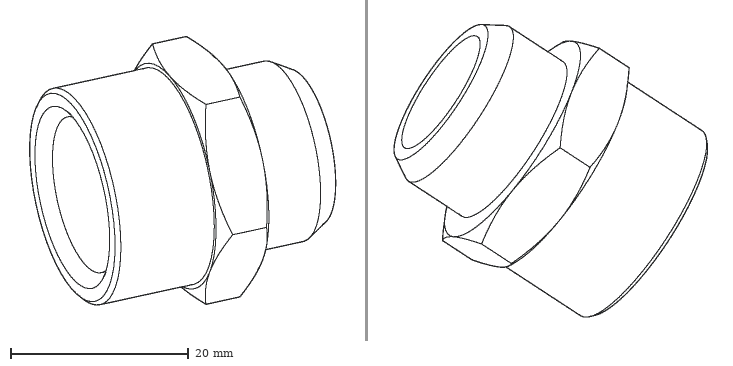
import cadquery as cq
import math

socket_length = 12.0
hex_length = 6.5
spigot_length = 10.0
hex_back = socket_length + hex_length
total_length = hex_back + spigot_length

socket_diameter = 25.0
socket_chamfer = 0.5
hex_across_flats = 26.0
hex_chamfer_angle = 30.0
spigot_diameter = 20.85
spigot_tip_diameter = 18.0
spigot_taper_length = 2.5

mouth_diameter = 21.0
socket_bore_diameter = 18.0
mouth_taper_angle = 45.0
socket_bore_depth = 15.0
step_diameter = 16.0
through_bore_diameter = 15.0
step_taper_length = 0.5


def slope(angle):
    return math.tan(math.radians(angle))


def revolve_profile(points):
    """Turn a closed (radius, y) outline about the Y axis."""
    return cq.Workplane("XY").polyline(points).close().revolve(360, (0, 0, 0), (0, 1, 0))


def make_socket_and_spigot():
    socket_radius = socket_diameter / 2
    tip_radius = spigot_tip_diameter / 2
    spigot_radius = spigot_diameter / 2
    return revolve_profile([
        (0, 0),
        (socket_radius - socket_chamfer, 0),
        (socket_radius, socket_chamfer),
        (socket_radius, socket_length),
        (spigot_radius, socket_length),
        (spigot_radius, total_length - spigot_taper_length),
        (tip_radius, total_length),
        (0, total_length),
    ])


def make_hexagon():
    """Hexagon with corners on the X axis, both ends chamfered by cones."""
    flat_radius = hex_across_flats / 2
    corner_radius = flat_radius / math.cos(math.pi / 6)
    corner_drop = (corner_radius - flat_radius) * slope(hex_chamfer_angle)
    prism = (
        cq.Workplane("XZ", origin=(0, socket_length, 0))
        .polygon(6, 2 * corner_radius)
        .extrude(-hex_length)
    )
    chamfer_envelope = revolve_profile([
        (0, socket_length),
        (flat_radius, socket_length),
        (corner_radius, socket_length + corner_drop),
        (corner_radius, hex_back - corner_drop),
        (flat_radius, hex_back),
        (0, hex_back),
    ])
    return prism.intersect(chamfer_envelope)


def make_bore():
    mouth_radius = mouth_diameter / 2
    socket_bore_radius = socket_bore_diameter / 2
    through_radius = through_bore_diameter / 2
    mouth_depth = (mouth_radius - socket_bore_radius) / slope(mouth_taper_angle)
    return revolve_profile([
        (0, 0),
        (mouth_radius, 0),
        (socket_bore_radius, mouth_depth),
        (socket_bore_radius, socket_bore_depth),
        (step_diameter / 2, socket_bore_depth),
        (through_radius, socket_bore_depth + step_taper_length),
        (through_radius, total_length),
        (0, total_length),
    ])


result = make_socket_and_spigot().union(make_hexagon()).cut(make_bore())